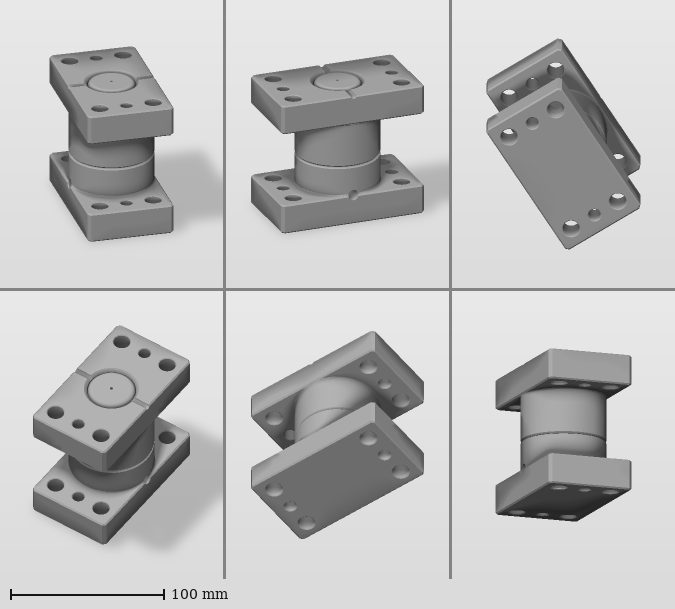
import cadquery as cq
import math

PLATE_LENGTH = 100.0
PLATE_WIDTH = 58.0
PLATE_THICKNESS = 20.0
CORNER_CHAMFER = 2.0
EDGE_CHAMFER = 0.95

HOLE_SPACING_X = 76.0
BOLT_SPACING_Y = 36.0
BOLT_HOLE_DIAMETER = 11.0
DOWEL_HOLE_DIAMETER = 8.0
HOLE_CHAMFER = 0.5

SLEEVE_RADIUS = 28.0
LOWER_SLEEVE_HEIGHT = 20.0
UPPER_SLEEVE_HEIGHT = 30.0
SLEEVE_GAP = 0.2
SLEEVE_END_CHAMFER = 1.0
SLEEVE_FOOT_FILLET = 1.0

PIN_RADIUS = 15.7
PIN_CLEARANCE = 0.3
PIN_TOP_FILLET = 3.2
CENTRE_HOLE_DIAMETER = 2.0
CENTRE_HOLE_DEPTH = 3.0

BORE_CHAMFER = 2.0
VENT_DIAMETER = 4.0
SIDE_HOLE_DIAMETER = 6.8

UPPER_BORE_RADIUS = PIN_RADIUS + PIN_CLEARANCE
LOWER_HEIGHT = PLATE_THICKNESS + LOWER_SLEEVE_HEIGHT
UPPER_HEIGHT = PLATE_THICKNESS + UPPER_SLEEVE_HEIGHT
TOTAL_HEIGHT = LOWER_HEIGHT + SLEEVE_GAP + UPPER_HEIGHT


def chamfered_hole_cutter(diameter):
    """Through-hole cutter for a plate, widened by a chamfer at both faces."""
    radius = diameter / 2
    rim = radius + HOLE_CHAMFER
    return (
        cq.Workplane("XZ")
        .moveTo(0, 0)
        .lineTo(rim, 0)
        .lineTo(radius, HOLE_CHAMFER)
        .lineTo(radius, PLATE_THICKNESS - HOLE_CHAMFER)
        .lineTo(rim, PLATE_THICKNESS)
        .lineTo(0, PLATE_THICKNESS)
        .close()
        .revolve(360, (0, 0, 0), (0, 1, 0))
    )


def make_plate():
    """Chamfered plate with its bolt and dowel holes, resting on Z = 0."""
    plate = (
        cq.Workplane("XY")
        .box(PLATE_LENGTH, PLATE_WIDTH, PLATE_THICKNESS, centered=(True, True, False))
        .edges("|Z").chamfer(CORNER_CHAMFER)
        .faces("<Z or >Z").edges().chamfer(EDGE_CHAMFER)
    )
    bolt_hole = chamfered_hole_cutter(BOLT_HOLE_DIAMETER)
    dowel_hole = chamfered_hole_cutter(DOWEL_HOLE_DIAMETER)
    for x in (-HOLE_SPACING_X / 2, HOLE_SPACING_X / 2):
        plate = plate.cut(dowel_hole.translate((x, 0, 0)))
        for y in (-BOLT_SPACING_Y / 2, BOLT_SPACING_Y / 2):
            plate = plate.cut(bolt_hole.translate((x, y, 0)))
    return plate


def make_sleeve(height):
    """Solid sleeve blank above a plate, with a filleted foot and a chamfered free end.

    The foot is wider than the flat of the plate, so it is trimmed flush with it.
    """
    foot_radius = SLEEVE_RADIUS + SLEEVE_FOOT_FILLET
    foot_top = PLATE_THICKNESS + SLEEVE_FOOT_FILLET
    arc_middle = SLEEVE_FOOT_FILLET * (1 - math.sqrt(0.5))
    sleeve = (
        cq.Workplane("XZ")
        .moveTo(0, PLATE_THICKNESS)
        .lineTo(foot_radius, PLATE_THICKNESS)
        .threePointArc(
            (SLEEVE_RADIUS + arc_middle, PLATE_THICKNESS + arc_middle),
            (SLEEVE_RADIUS, foot_top),
        )
        .lineTo(SLEEVE_RADIUS, PLATE_THICKNESS + height)
        .lineTo(0, PLATE_THICKNESS + height)
        .close()
        .revolve(360, (0, 0, 0), (0, 1, 0))
        .faces(">Z").edges().chamfer(SLEEVE_END_CHAMFER)
    )
    plate_top_width = PLATE_WIDTH - 2 * EDGE_CHAMFER
    trim_block = cq.Workplane("XY").box(PLATE_LENGTH, plate_top_width, 2 * TOTAL_HEIGHT)
    return sleeve.intersect(trim_block)


def make_housing(sleeve_height, bore_radius):
    """Plate and sleeve as one solid, bored through for the pin, plate at the bottom."""
    bore = cq.Workplane("XY").circle(bore_radius).extrude(PLATE_THICKNESS + sleeve_height)
    return make_plate().union(make_sleeve(sleeve_height)).cut(bore)


def make_lower_housing():
    """Lower housing, gripping the pin, with a side hole from the front into the bore."""
    side_hole = (
        cq.Workplane("XZ", origin=(0, 0, PLATE_THICKNESS))
        .circle(SIDE_HOLE_DIAMETER / 2)
        .extrude(PLATE_WIDTH / 2)
    )
    return make_housing(LOWER_SLEEVE_HEIGHT, PIN_RADIUS).cut(side_hole)


def make_upper_housing():
    """Upper housing, plate on top, with a chamfered bore and a vent groove across it."""
    housing = (
        make_housing(UPPER_SLEEVE_HEIGHT, UPPER_BORE_RADIUS)
        .rotate((0, 0, 0), (1, 0, 0), 180)
        .translate((0, 0, TOTAL_HEIGHT))
    )
    countersink = cq.Workplane(
        cq.Solid.makeCone(
            UPPER_BORE_RADIUS,
            UPPER_BORE_RADIUS + BORE_CHAMFER,
            BORE_CHAMFER,
            pnt=cq.Vector(0, 0, TOTAL_HEIGHT - BORE_CHAMFER),
        )
    )
    vent = (
        cq.Workplane("XZ", origin=(0, 0, TOTAL_HEIGHT))
        .circle(VENT_DIAMETER / 2)
        .extrude(PLATE_WIDTH / 2, both=True)
    )
    return housing.cut(countersink).cut(vent)


def make_core_pin():
    """Straight pin with a rounded top edge and a small drilled centre hole."""
    drill_radius = CENTRE_HOLE_DIAMETER / 2
    drill = (
        cq.Workplane("XZ")
        .moveTo(0, TOTAL_HEIGHT)
        .lineTo(drill_radius, TOTAL_HEIGHT)
        .lineTo(drill_radius, TOTAL_HEIGHT - CENTRE_HOLE_DEPTH)
        .lineTo(0, TOTAL_HEIGHT - CENTRE_HOLE_DEPTH - drill_radius)
        .close()
        .revolve(360, (0, 0, 0), (0, 1, 0))
    )
    return (
        cq.Workplane("XY")
        .circle(PIN_RADIUS)
        .extrude(TOTAL_HEIGHT)
        .faces(">Z").edges().fillet(PIN_TOP_FILLET)
        .cut(drill)
    )


lower_housing = make_lower_housing()
upper_housing = make_upper_housing()
core_pin = make_core_pin()

result = cq.Compound.makeCompound([lower_housing.val(), upper_housing.val(), core_pin.val()])